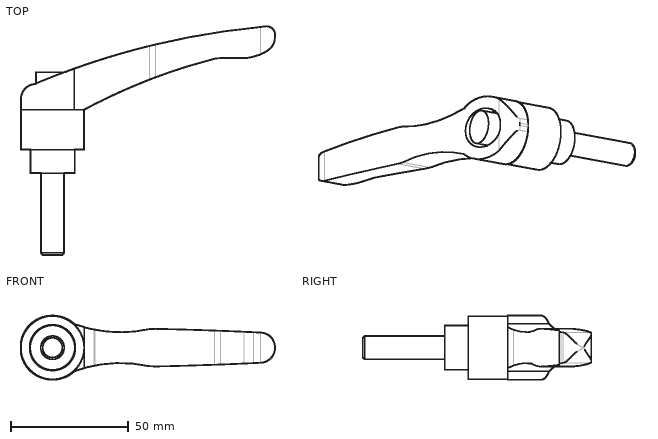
import cadquery as cq
import math

overall_width = 108.49
overall_height = 97.67

stud_diameter = 10.0
stud_length = 35.0
stud_tip_diameter = 8.4
stud_chamfer_length = 1.0
collar_diameter = 19.0
collar_length = 10.0
hub_diameter = 27.0
hub_length = 17.0
hub_bore_diameter = 19.6

button_diameter = 14.2
button_top = 33.1
button_hole_diameter = 17.0
button_hole_floor = 25.0

head_diameter = 27.48
head_side_x = -13.49
head_side_top = 21.4
head_corner_mid = (-12.1, 25.6)
head_corner_end = (-7.5, 28.05)
back_mid = (38.0, 43.45)
tip_start_x = 88.55
back_end = (tip_start_x, 52.35)
lever_top = overall_height - stud_length - collar_length
tip_crown = (91.5, lever_top)
tip_x = overall_width - hub_diameter / 2
tip_nose = (tip_x, 49.2)
tip_lower_end = (tip_start_x, 40.5)
tip_directions = [(1, 0.12), (1, 0), (0, -1), (-1, -0.45)]
grip_flat_y = 39.0
grip_flat_start_x = 71.6
grip_flat_end_x = 81.5
grip_ramp_start = (85.6, 39.6)
belly_end = (69.0, 38.7)
belly_mid = (40.0, 29.3)
belly_start = (18.05, 19.39)
underside_ramp_end = (17.7, 19.21)

neck_start_x = 9.3
neck_waist = (28.7, 6.6)
neck_end = (41.2, 7.95)
grip_shoulder_mid = (42.5, 8.05)
grip_start = (43.8, 8.08)
grip_mid = (69.0, 7.35)
tip_half_width = 6.5


def cylinder(diameter, y_bottom, y_top):
    """Cylinder about the Y axis between two heights."""
    plane = cq.Workplane("XZ", origin=(0, y_bottom, 0))
    return plane.circle(diameter / 2).extrude(y_bottom - y_top)


def mirrored(point):
    """Point on the opposite side of the lever's centre line."""
    return (point[0], -point[1])


def make_lever_profile():
    """Side outline of head and arm, extruded to the full head width."""
    outline = (
        cq.Workplane("XY", origin=(0, 0, -head_diameter / 2))
        .moveTo(head_side_x, hub_length)
        .lineTo(head_side_x, head_side_top)
        .threePointArc(head_corner_mid, head_corner_end)
        .threePointArc(back_mid, back_end)
        .spline([tip_crown, tip_nose, tip_lower_end], tangents=tip_directions, includeCurrent=True)
        .lineTo(*grip_ramp_start)
        .tangentArcPoint((grip_flat_end_x, grip_flat_y), relative=False)
        .lineTo(grip_flat_start_x, grip_flat_y)
        .tangentArcPoint(belly_end, relative=False)
        .threePointArc(belly_mid, belly_start)
        .tangentArcPoint(underside_ramp_end, relative=False)
        .lineTo(hub_diameter / 2, hub_length)
        .close()
    )
    return outline.extrude(head_diameter)


def make_lever_plan():
    """Plan outline of the lever: round head, waisted neck and rounded tip."""
    head_radius = head_diameter / 2
    neck_start = (neck_start_x, math.sqrt(head_radius**2 - neck_start_x**2))
    tip_start = (tip_start_x, tip_half_width)
    outline = (
        cq.Workplane("XZ", origin=(0, hub_length, 0))
        .moveTo(*neck_start)
        .threePointArc(neck_waist, neck_end)
        .threePointArc(grip_shoulder_mid, grip_start)
        .threePointArc(grip_mid, tip_start)
        .threePointArc((tip_x, 0), mirrored(tip_start))
        .threePointArc(mirrored(grip_mid), mirrored(grip_start))
        .threePointArc(mirrored(grip_shoulder_mid), mirrored(neck_end))
        .threePointArc(mirrored(neck_waist), mirrored(neck_start))
        .threePointArc((-head_radius, 0), neck_start)
        .close()
    )
    return outline.extrude(hub_length - lever_top)


def make_handle():
    """Lever with its hub, the hub bore and the button hole."""
    lever = make_lever_profile().intersect(make_lever_plan())
    handle = lever.union(cylinder(hub_diameter, 0, head_side_top))
    handle = handle.cut(cylinder(hub_bore_diameter, 0, hub_length))
    return handle.cut(cylinder(button_hole_diameter, button_hole_floor, lever_top))


def make_insert():
    """Chamfered stud, collar and release button."""
    stud_end = -collar_length - stud_length
    chamfer_radial = (stud_diameter - stud_tip_diameter) / 2
    stud = cylinder(stud_diameter, stud_end, 0)
    stud = stud.faces("<Y").chamfer(stud_chamfer_length, chamfer_radial)
    collar = cylinder(collar_diameter, -collar_length, hub_length)
    button = cylinder(button_diameter, hub_length, button_top)
    return stud.union(collar).union(button)


result = make_handle().union(make_insert())